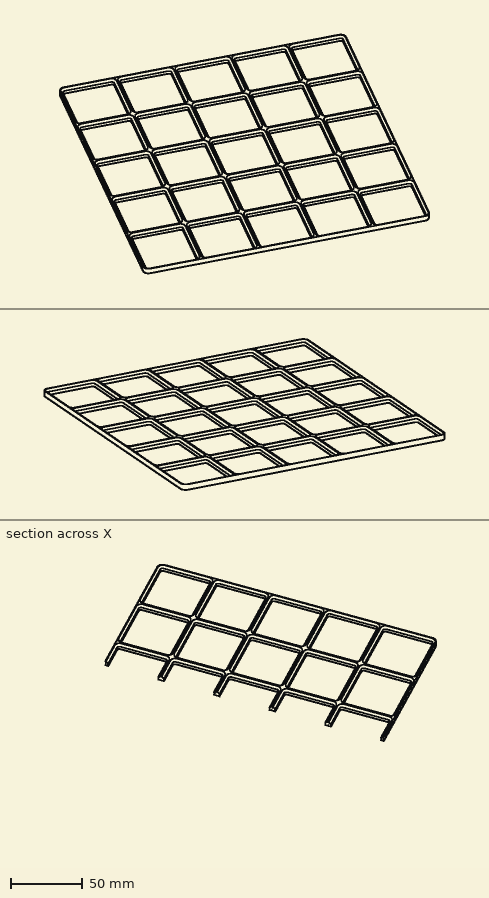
import cadquery as cq

cell_count = 5
plate_side = 210.0
plate_height = 4.2
corner_radius = 4.0
cell_pitch = plate_side / cell_count

lead_in = 1.65
crest_half_width = 0.5
wall_height = plate_height - lead_in
mouth_side = cell_pitch - 2 * crest_half_width
mouth_radius = corner_radius - crest_half_width
throat_side = mouth_side - 2 * lead_in
throat_radius = mouth_radius - lead_in


def rounded_square(side, radius):
    """Square outline with rounded corners, centred on the origin."""
    return cq.Sketch().rect(side, side).vertices().fillet(radius)


def opening_cutter():
    """Solid that fills one opening: straight throat plus flared mouth."""
    throat_outline = rounded_square(throat_side, throat_radius)
    mouth_outline = rounded_square(mouth_side, mouth_radius)
    rise = cq.Location(cq.Vector(0, 0, lead_in))
    throat = cq.Workplane("XY").placeSketch(throat_outline).extrude(wall_height)
    flare = (
        cq.Workplane("XY")
        .workplane(offset=wall_height)
        .placeSketch(throat_outline, mouth_outline.moved(rise))
        .loft(ruled=True)
    )
    return throat.union(flare).val()


def grid_of_openings():
    """One cutter at the centre of every cell."""
    cutter = opening_cutter()
    cell_centres = cq.Workplane("XY").rarray(cell_pitch, cell_pitch, cell_count, cell_count)
    return cell_centres.eachpoint(lambda place: cutter.moved(place))


plate_outline = rounded_square(plate_side, corner_radius)
plate = cq.Workplane("XY").placeSketch(plate_outline).extrude(plate_height)
result = plate.cut(grid_of_openings())